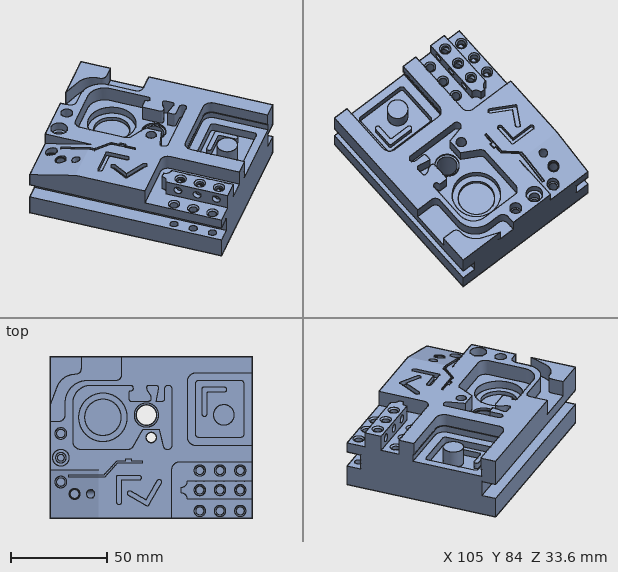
import cadquery as cq
import math

LENGTH = 105.0
WIDTH = 84.0
HEIGHT = 33.6
MARGIN = 2.1

GROOVE_BOTTOM = 11.2
GROOVE_HEIGHT = 8.4
GROOVE_DEPTH = 7.8

STEP_DEPTH = 8.4
STEP_Z = HEIGHT - STEP_DEPTH

RAMP_SIZE = 25.2
RAMP_ANGLE = 15.0
RAMP_DROP = RAMP_SIZE * math.tan(math.radians(RAMP_ANGLE))

LEFT_HOLE_X = 5.6
STEPPED_HOLE_Y = 44.1
SCREW_HOLE_Y = 31.5
RAMP_HOLE_Y = 18.9
STEPPED_HOLE = [(3.0, 6.3), (2.2, 12.6)]
SCREW_HOLE = [(4.3, 4.8), (2.7, 10.5), (1.8, 14.7)]
RAMP_STEPPED_HOLE = [(3.0, 3.7), (2.2, 12.6)]
RIMMED_HOLE = (12.7, 12.7)
RIMMED_HOLE_STEPS = [(2.8, 1.0), (2.3, 12.6)]
SQUARE_HOLE = (21.0, 12.7)
SQUARE_HOLE_RADIUS = 2.2
SQUARE_HOLE_DEPTH = 17.8

ROUND_BORE = (27.4, 52.5)
ROUND_BORE_RADIUS = 12.6
ROUND_BORE_DEPTH = 4.2
ROUND_BORE_INNER_RADIUS = 9.5
ROUND_BORE_INNER_DEPTH = 2.1
BIG_HOLE = (50.0, 53.7)
BIG_HOLE_RADIUS = 5.2
BIG_HOLE_RIM = 1.0
SMALL_HOLE = (52.5, 42.0)
SMALL_HOLE_RADIUS = 2.6

SIDE_POCKET_LEFT = 71.2
SIDE_POCKET_FRONT = 37.8
SIDE_POCKET_BACK = 75.6
SIDE_POCKET_FLOOR = 22.8
SIDE_POCKET_RADIUS = 4.6
UNDERCUT = 0.5
UNDERCUT_HEIGHT = 3.9
INNER_POCKET_MIN = (75.5, 42.1)
INNER_POCKET_MAX = (100.6, 71.6)
INNER_POCKET_RADIUS = 1.6
INNER_POCKET_FLOOR = 18.1
BOSS = (90.2, 53.8)
BOSS_RADIUS = 5.4
BOSS_TOP = 27.3
ANGLE_RIB_CORNER = (78.9, 68.1)
ANGLE_RIB_TOP = 21.3
ANGLE_RIB_RADIUS = 0.8

STEP_LEFT = 63.1
STEP_BACK = 29.3
STEP_RADIUS = 4.0
BAR_LEFT = 67.9
BAR_FRONT = 10.1
BAR_BACK = 19.3
BAR_COVE = 3.3
HOLE_COLUMNS = (77.7, 88.2, 98.7)
HOLE_ROWS = (3.9, 14.7, 24.9)
TAPPED_RADIUS = 2.1
TAPPED_CHAMFER = 0.8
TAPPED_DEPTH = 18.9
CROSS_HOLE_Z = 29.4

ANGLE_WIDTH = 2.5
TIP_CLEARANCE = 0.01
ANGLE_LONG = 15.2
ANGLE_SHORT = 12.8
ANGLE_SLOT_RADIUS = 0.5
ANGLE_SLOT_DEPTH = 2.6
ANGLE_SLOT_CORNER = (34.5, 22.4)
TILTED_SLOT_CORNER = (50.7, 6.2)
TILTED_SLOT_TURN = 150.0

CABLE_DEPTH = 1.0


def rounded_outline(corners):
    """Closed outline from (x, y, radius) corners; radius 0 keeps the corner sharp."""
    starts, middles, ends = [], [], []
    count = len(corners)
    for i, (x, y, radius) in enumerate(corners):
        here = cq.Vector(x, y, 0)
        back = (cq.Vector(*corners[i - 1][:2], 0) - here).normalized()
        ahead = (cq.Vector(*corners[(i + 1) % count][:2], 0) - here).normalized()
        half = back.getAngle(ahead) / 2
        setback = radius / math.tan(half)
        bisector = (back + ahead).normalized()
        starts.append(here + back * setback)
        middles.append(here + bisector * (radius / math.sin(half) - radius))
        ends.append(here + ahead * setback)
    outline = cq.Workplane("XY").moveTo(ends[-1].x, ends[-1].y)
    for corner, start, middle, end in zip(corners, starts, middles, ends):
        outline = outline.lineTo(start.x, start.y)
        if corner[2] > 0:
            outline = outline.threePointArc((middle.x, middle.y), (end.x, end.y))
    return outline.close()


def prism(corners, bottom, top):
    return rounded_outline(corners).extrude(top - bottom).translate((0, 0, bottom))


def rectangle(left, front, right, back, radius=0.0):
    return [(left, front, radius), (right, front, radius), (right, back, radius), (left, back, radius)]


def cylinder(center, radius, bottom, top):
    return cq.Workplane("XY", origin=(*center, bottom)).circle(radius).extrude(top - bottom)


def cone(center, bottom_radius, top_radius, bottom, top):
    solid = cq.Solid.makeCone(bottom_radius, top_radius, top - bottom, cq.Vector(*center, bottom))
    return cq.Workplane(solid)


def make_block():
    """Plain block with a clamping groove along its front and back."""
    block = cq.Workplane("XY").box(LENGTH, WIDTH, HEIGHT, centered=False)
    for front in (0, WIDTH - GROOVE_DEPTH):
        groove = cq.Workplane("XY").box(LENGTH, GROOVE_DEPTH, GROOVE_HEIGHT, centered=False)
        block = block.cut(groove.translate((0, front, GROOVE_BOTTOM)))
    return block


def ramp_wedge():
    """Wedge above the front-left ramp."""
    profile = [(0, HEIGHT), (RAMP_SIZE, HEIGHT), (0, HEIGHT - RAMP_DROP)]
    return cq.Workplane("XZ").polyline(profile).close().extrude(-RAMP_SIZE)


def ramp_height(x):
    return HEIGHT - (RAMP_SIZE - x) * math.tan(math.radians(RAMP_ANGLE))


def channel():
    """Curved channel from the left side to the back side."""
    corners = [
        (-MARGIN, 50.3, 0),
        (7.8, 50.3, 3.5),
        (7.8, 71.6, 11.5),
        (37.1, 71.6, 2.9),
        (37.1, WIDTH + MARGIN, 0),
        (16.2, WIDTH + MARGIN, 0),
        (16.2, 74.9, 2.9),
        (6.1, 74.9, 10.3),
        (0, 58.8, 0),
        (-MARGIN, 58.8, 0),
    ]
    return prism(corners, STEP_Z, HEIGHT)


def main_pocket():
    """Winding pocket with a two-step round bore in its floor."""
    corners = [
        (11.8, 35.8, 4.2),
        (42.2, 35.8, 3.2),
        (48.1, 46.2, 0),
        (56.7, 46.2, 0),
        (59.2, 35.8, 1.9),
        (63.2, 35.8, 2.0),
        (63.2, 69.1, 1.8),
        (59.4, 69.1, 1.8),
        (59.4, 60.8, 1.3),
        (55.0, 60.8, 0),
        (56.6, 69.1, 1.4),
        (49.9, 69.1, 1.0),
        (50.4, 66.5, 1.6),
        (52.4, 63.4, 1.6),
        (52.4, 60.8, 1.3),
        (41.1, 60.8, 1.0),
        (41.1, 66.0, 0.5),
        (43.4, 66.5, 1.0),
        (42.8, 69.1, 1.3),
        (11.8, 69.1, 9.2),
    ]
    pocket = prism(corners, STEP_Z, HEIGHT)
    bore_floor = STEP_Z - ROUND_BORE_DEPTH
    pocket = pocket.union(cylinder(ROUND_BORE, ROUND_BORE_RADIUS, bore_floor, STEP_Z))
    inner_floor = bore_floor - ROUND_BORE_INNER_DEPTH
    return pocket.union(cylinder(ROUND_BORE, ROUND_BORE_INNER_RADIUS, inner_floor, bore_floor))


def through_holes():
    """Rimmed large hole in the pocket floor and a small hole from the top face."""
    rim = cylinder(BIG_HOLE, BIG_HOLE_RADIUS + BIG_HOLE_RIM, STEP_Z - BIG_HOLE_RIM, STEP_Z)
    big = cylinder(BIG_HOLE, BIG_HOLE_RADIUS, 0, STEP_Z)
    small = cylinder(SMALL_HOLE, SMALL_HOLE_RADIUS, 0, HEIGHT)
    return rim.union(big).union(small)


def angle_outline(outer_radius, inner_radius):
    """Angle with its outer corner at the origin: long arm along -Y, short arm along +X."""
    w = ANGLE_WIDTH
    tip = w / 2 - TIP_CLEARANCE
    return [
        (0, 0, outer_radius),
        (0, -ANGLE_LONG, tip),
        (w, -ANGLE_LONG, tip),
        (w, -w, inner_radius),
        (ANGLE_SHORT, -w, tip),
        (ANGLE_SHORT, 0, tip),
    ]


def angle_shape(corner, turn, bottom, top, outer_radius, inner_radius=0.0):
    shape = prism(angle_outline(outer_radius, inner_radius), bottom, top)
    return shape.rotate((0, 0, 0), (0, 0, 1), turn).translate((*corner, 0))


def side_pocket():
    """Undercut pocket open to the right, with a sunken floor carrying a round boss and an angle rib."""
    right = LENGTH + 2 * SIDE_POCKET_RADIUS
    opening = rectangle(SIDE_POCKET_LEFT, SIDE_POCKET_FRONT, right, SIDE_POCKET_BACK, SIDE_POCKET_RADIUS)
    undercut = rectangle(
        SIDE_POCKET_LEFT - UNDERCUT,
        SIDE_POCKET_FRONT - UNDERCUT,
        right,
        SIDE_POCKET_BACK + UNDERCUT,
        SIDE_POCKET_RADIUS + UNDERCUT,
    )
    inner = rectangle(*INNER_POCKET_MIN, *INNER_POCKET_MAX, INNER_POCKET_RADIUS)
    pocket = prism(opening, SIDE_POCKET_FLOOR, HEIGHT)
    pocket = pocket.union(prism(undercut, SIDE_POCKET_FLOOR, SIDE_POCKET_FLOOR + UNDERCUT_HEIGHT))
    pocket = pocket.union(prism(inner, INNER_POCKET_FLOOR, SIDE_POCKET_FLOOR))
    pocket = pocket.cut(cylinder(BOSS, BOSS_RADIUS, INNER_POCKET_FLOOR, BOSS_TOP))
    rib_radii = (ANGLE_RIB_RADIUS, ANGLE_RIB_RADIUS)
    return pocket.cut(angle_shape(ANGLE_RIB_CORNER, 0, INNER_POCKET_FLOOR, ANGLE_RIB_TOP, *rib_radii))


def corner_step():
    """Step in the front-right corner, leaving a bar with coved end corners."""
    corners = [
        (STEP_LEFT, -MARGIN, 0),
        (LENGTH + MARGIN, -MARGIN, 0),
        (LENGTH + MARGIN, STEP_BACK, 0),
        (STEP_LEFT, STEP_BACK, STEP_RADIUS),
    ]
    step = prism(corners, STEP_Z, HEIGHT)
    bar = prism(rectangle(BAR_LEFT, BAR_FRONT, LENGTH + MARGIN, BAR_BACK), STEP_Z, HEIGHT)
    for y in (BAR_FRONT, BAR_BACK):
        bar = bar.cut(cylinder((BAR_LEFT, y), BAR_COVE, STEP_Z, HEIGHT))
    return step.cut(bar)


def tapped_holes():
    """Grid of chamfered vertical holes, and plain cross holes through the bar."""
    holes = cq.Workplane("XY")
    for y in HOLE_ROWS:
        top = HEIGHT if BAR_FRONT < y < BAR_BACK else STEP_Z
        for x in HOLE_COLUMNS:
            holes = holes.add(cylinder((x, y), TAPPED_RADIUS, top - TAPPED_DEPTH, top))
            rim_radius = TAPPED_RADIUS + TAPPED_CHAMFER
            holes = holes.add(cone((x, y), TAPPED_RADIUS, rim_radius, top - TAPPED_CHAMFER, top))
    for x in HOLE_COLUMNS:
        start = cq.Workplane("XZ", origin=(x, BAR_FRONT, CROSS_HOLE_Z))
        holes = holes.add(start.circle(TAPPED_RADIUS).extrude(BAR_FRONT - BAR_BACK))
    return holes.combine()


def angle_slots():
    floor = HEIGHT - ANGLE_SLOT_DEPTH
    square = angle_shape(ANGLE_SLOT_CORNER, 0, floor, HEIGHT, ANGLE_SLOT_RADIUS)
    tilted = angle_shape(TILTED_SLOT_CORNER, TILTED_SLOT_TURN, floor, HEIGHT, ANGLE_SLOT_RADIUS)
    return square.union(tilted)


def cable_groove(block):
    """Bent narrow groove of even depth, following the ramp and the top face of the block."""
    corners = [
        (9.7, 21.4, 0), (28.4, 21.4, 0), (35.1, 28.9, 0), (48.0, 28.9, 0),
        (48.0, 29.8, 0), (42.3, 29.8, 0), (42.3, 31.0, 0), (39.2, 31.0, 0),
        (39.2, 29.8, 0), (34.6, 29.8, 0), (27.9, 22.6, 0), (9.7, 22.6, 0),
    ]
    top_skin = block.cut(block.translate((0, 0, -CABLE_DEPTH)))
    return top_skin.intersect(prism(corners, HEIGHT - RAMP_DROP - CABLE_DEPTH, HEIGHT))


def stepped_hole(center, top, steps):
    """Vertical blind hole; each step is (radius, depth below the top)."""
    hole = cq.Workplane("XY")
    for radius, depth in steps:
        hole = hole.add(cylinder(center, radius, top - depth, HEIGHT))
    return hole.combine()


def left_holes():
    """Vertical stepped holes near the left side, and one plain hole square to the ramp."""
    holes = stepped_hole((LEFT_HOLE_X, STEPPED_HOLE_Y), HEIGHT, STEPPED_HOLE)
    holes = holes.union(stepped_hole((LEFT_HOLE_X, SCREW_HOLE_Y), HEIGHT, SCREW_HOLE))
    ramp_top = ramp_height(LEFT_HOLE_X)
    holes = holes.union(stepped_hole((LEFT_HOLE_X, RAMP_HOLE_Y), ramp_top, RAMP_STEPPED_HOLE))
    holes = holes.union(stepped_hole(RIMMED_HOLE, ramp_height(RIMMED_HOLE[0]), RIMMED_HOLE_STEPS))
    x, y = SQUARE_HOLE
    drill = cq.Solid.makeCylinder(
        SQUARE_HOLE_RADIUS, SQUARE_HOLE_DEPTH + MARGIN, cq.Vector(0, 0, -SQUARE_HOLE_DEPTH)
    )
    drill = drill.rotate(cq.Vector(0, 0, 0), cq.Vector(0, 1, 0), -RAMP_ANGLE)
    return holes.union(cq.Workplane(drill.translate(cq.Vector(x, y, ramp_height(x)))))


block = make_block().cut(ramp_wedge())
result = block.cut(channel()).cut(main_pocket()).cut(through_holes())
result = result.cut(side_pocket()).cut(corner_step()).cut(tapped_holes())
result = result.cut(angle_slots()).cut(cable_groove(block)).cut(left_holes())